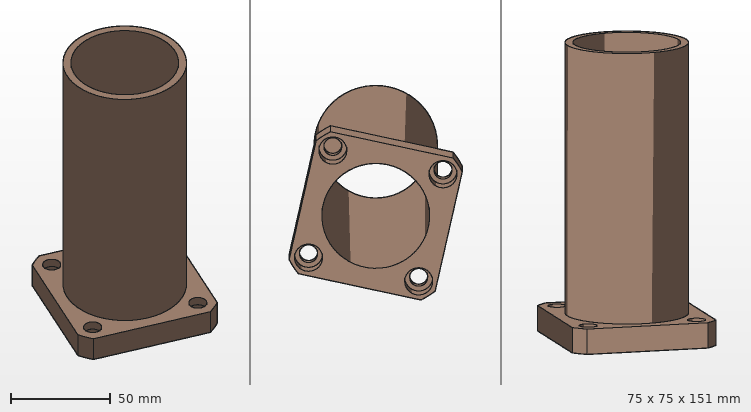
import cadquery as cq
import math

total_height = 151.0
flange_side = 75.0
flange_thickness = 13.0
flange_diameter = 98.0

tube_diameter = 62.0
bore_diameter = 54.0

hole_diameter = 9.0
bolt_circle_diameter = 80.0
hole_spacing = bolt_circle_diameter / math.sqrt(2)
counterbore_diameter = 14.0
counterbore_depth = 8.5


def cylinder(diameter, height):
    """Upright cylinder on the part axis, starting at Z = 0."""
    return cq.Workplane("XY").circle(diameter / 2).extrude(height)


def make_flange():
    """Square plate whose corners are trimmed by a circle about the part axis."""
    plate = cq.Workplane("XY").rect(flange_side, flange_side).extrude(flange_thickness)
    return plate.intersect(cylinder(flange_diameter, flange_thickness))


def corner_cylinders(diameter, height):
    """Four upright cylinders at the mounting hole positions, starting at Z = 0."""
    corners = cq.Workplane("XY").rect(hole_spacing, hole_spacing, forConstruction=True).vertices()
    return corners.circle(diameter / 2).extrude(height)


body = make_flange().union(cylinder(tube_diameter, total_height))
bored_body = body.cut(cylinder(bore_diameter, total_height))
drilled_body = bored_body.cut(corner_cylinders(hole_diameter, flange_thickness))
result = drilled_body.cut(corner_cylinders(counterbore_diameter, counterbore_depth))